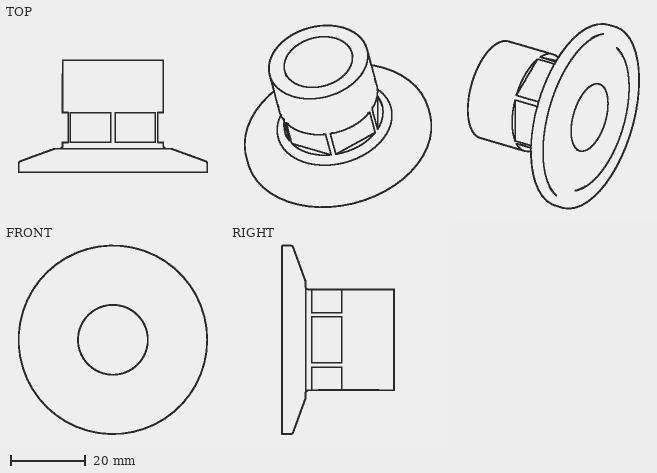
import cadquery as cq
import math

total_length = 30.0
bore_diameter = 18.63

flange_radius = 50.5 / 2
cone_angle = math.radians(20)
cone_corner_height = 2.85
rim_back_fillet = 0.8
rim_front_fillet = 0.25
shoulder_height = 6.35

hub_radius = 27.0 / 2
hub_root_fillet = 0.8

across_flats = 24.0
hexagon_sides = 6
hexagon_start = 8.0
hexagon_end = 16.0

groove_radius = 43.5 / 2
groove_depth = 1.6
groove_bottom_fillet = 1.2
groove_lip_fillet = 0.8
flank_angle = math.radians(23)


def make_body():
    """Flange and hub, revolved from a half section with X as the radius."""
    cone_top_radius = flange_radius - (shoulder_height - cone_corner_height) / math.tan(cone_angle)

    rim_mid_angle = (math.pi / 2 - cone_angle) / 2
    rim_tangent = rim_back_fillet * math.tan(rim_mid_angle)
    rim_center = (flange_radius - rim_back_fillet, cone_corner_height - rim_tangent)

    root_center = (hub_radius + hub_root_fillet, shoulder_height + hub_root_fillet)
    front_center = (flange_radius - rim_front_fillet, rim_front_fillet)

    section = (
        cq.Workplane("XY")
        .lineTo(front_center[0], 0)
        .threePointArc(
            point_on_circle(front_center, rim_front_fillet, -math.pi / 4),
            (flange_radius, rim_front_fillet),
        )
        .lineTo(flange_radius, rim_center[1])
        .threePointArc(
            point_on_circle(rim_center, rim_back_fillet, rim_mid_angle),
            point_on_circle(rim_center, rim_back_fillet, 2 * rim_mid_angle),
        )
        .lineTo(cone_top_radius, shoulder_height)
        .lineTo(root_center[0], shoulder_height)
        .threePointArc(
            point_on_circle(root_center, hub_root_fillet, -3 * math.pi / 4),
            (hub_radius, root_center[1]),
        )
        .lineTo(hub_radius, total_length)
        .lineTo(0, total_length)
        .close()
    )
    return revolve_about_axis(section)


def make_groove():
    """Ring that cuts the gasket groove into the sealing face."""
    cos_flank = math.cos(flank_angle)
    sin_flank = math.sin(flank_angle)

    bottom_center_height = groove_depth - groove_bottom_fillet
    bottom_offset = groove_bottom_fillet * cos_flank
    bottom_height = bottom_center_height + groove_bottom_fillet * sin_flank
    flank_foot_height = groove_lip_fillet * (1 - sin_flank)
    flank_foot_offset = bottom_offset + (bottom_height - flank_foot_height) * math.tan(flank_angle)
    lip_offset = flank_foot_offset + groove_lip_fillet * cos_flank

    outer_lip_center = (groove_radius + lip_offset, groove_lip_fillet)
    inner_lip_center = (groove_radius - lip_offset, groove_lip_fillet)
    half_turn = (math.pi / 2 - flank_angle) / 2
    outer_mid = point_on_circle(outer_lip_center, groove_lip_fillet, -math.pi / 2 - half_turn)
    inner_mid = point_on_circle(inner_lip_center, groove_lip_fillet, -math.pi / 2 + half_turn)

    section = (
        cq.Workplane("XY")
        .moveTo(inner_lip_center[0], 0)
        .threePointArc(inner_mid, (groove_radius - flank_foot_offset, flank_foot_height))
        .lineTo(groove_radius - bottom_offset, bottom_height)
        .threePointArc((groove_radius, groove_depth), (groove_radius + bottom_offset, bottom_height))
        .lineTo(groove_radius + flank_foot_offset, flank_foot_height)
        .threePointArc(outer_mid, (outer_lip_center[0], 0))
        .close()
    )
    return revolve_about_axis(section)


def make_hexagon_cutter():
    """Hub-wide ring around a hexagonal core; two of its flats face -X and +X."""
    half_side_angle = 180 / hexagon_sides
    corner_diameter = across_flats / math.cos(math.radians(half_side_angle))
    length = hexagon_end - hexagon_start
    ring = axial_plane(hexagon_start).circle(corner_diameter).extrude(length)
    core = (
        axial_plane(hexagon_start)
        .transformed(rotate=(0, 0, half_side_angle))
        .polygon(hexagon_sides, corner_diameter)
        .extrude(length)
    )
    return ring.cut(core)


def make_bore():
    return axial_plane(0).circle(bore_diameter / 2).extrude(total_length)


def axial_plane(height):
    """Workplane across the part axis at the given Y, facing +Y."""
    return cq.Workplane(cq.Plane(origin=(0, height, 0), xDir=(1, 0, 0), normal=(0, 1, 0)))


def point_on_circle(center, radius, angle):
    return (center[0] + radius * math.cos(angle), center[1] + radius * math.sin(angle))


def revolve_about_axis(section):
    return section.revolve(360, (0, 0, 0), (0, 1, 0))


result = make_body().cut(make_groove()).cut(make_hexagon_cutter()).cut(make_bore())